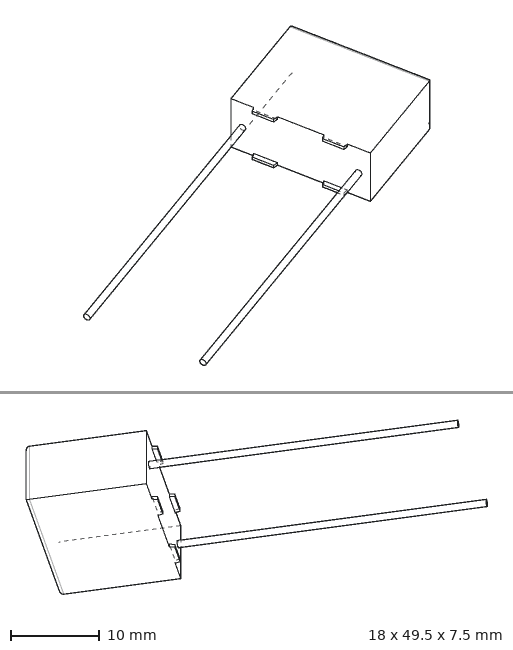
import cadquery as cq

overall_length = 49.5
case_width = 18.0
case_length = 13.95
case_height = 7.5

rim_radius = 0.5

foot_width = 3.05
foot_length = 0.6
foot_thickness = 0.4
foot_pitch = 9.05
foot_side_taper = 0.15

lead_diameter = 0.85
lead_pitch = 15.0

back_y = overall_length / 2
case_front_y = back_y - case_length
lead_length = overall_length - case_length


def make_foot(x_side, z_side):
    """One foot, narrower at its tip and flush with the top or bottom face of the case."""
    half_base = foot_width / 2
    half_tip = half_base - foot_side_taper
    foot = (
        cq.Workplane("XY")
        .polyline([
            (-half_base, 0),
            (half_base, 0),
            (half_tip, -foot_length),
            (-half_tip, -foot_length),
        ])
        .close()
        .extrude(foot_thickness / 2, both=True)
    )
    return foot.translate((
        x_side * foot_pitch / 2,
        case_front_y,
        z_side * (case_height - foot_thickness) / 2,
    ))


def make_case():
    """Case block with a rounded closed end and four feet."""
    case = (
        cq.Workplane("XY")
        .box(case_width, case_length, case_height)
        .translate((0, back_y - case_length / 2, 0))
        .faces(">Y")
        .edges()
        .fillet(rim_radius)
    )
    for x_side in (-1, 1):
        for z_side in (-1, 1):
            case = case.union(make_foot(x_side, z_side))
    return case


def make_lead(x_side):
    """Straight round wire that starts on the front face of the case."""
    return (
        cq.Workplane("XZ", origin=(x_side * lead_pitch / 2, case_front_y, 0))
        .circle(lead_diameter / 2)
        .extrude(lead_length)
    )


case = make_case()
leads = [make_lead(x_side) for x_side in (-1, 1)]

result = cq.Compound.makeCompound([case.val(), *[lead.val() for lead in leads]])